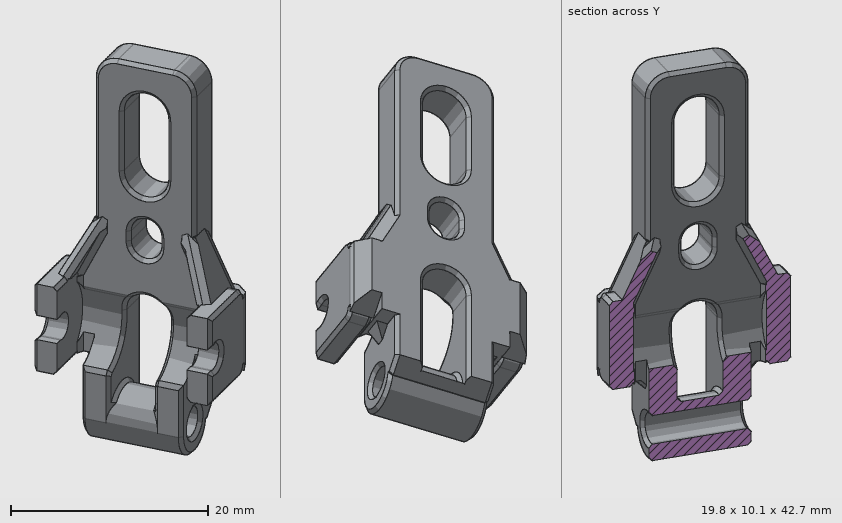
import cadquery as cq
import math

EDGE = 0.4

PLATE_HALF_WIDTH = 5.6
PLATE_THICKNESS = 4.5
PLATE_HEIGHT = 42.7
TOP_CORNER_RADIUS = 2.5

BARREL_RADIUS = 3.1
LUG_FRONT = 7.73
BARREL_DEPTH = LUG_FRONT - BARREL_RADIUS
HINGE_HOLE_DIAMETER = 3.25
HINGE_HOLE_Z = 3.5
FOOT_BEVEL_Z = 3.75

PIN_DEPTH = 8.75
PIN_Z = 13.63
PIN_RADIUS = 1.46
PIN_MOUTH_HALF = 1.37
TROUGH_RADIUS = 4.93
TROUGH_EDGE = 0.15

ARM_OUTER_X = 9.9
ARM_INNER_X = 7.25
ARM_FRONT = 10.12
ARM_HALF_HEIGHT = 4.93
ARM_CORNER_RADIUS = 1.2
ARM_FOOT_WIDTH = 0.42
ARM_FOOT_DEPTH = 0.75

BACK_PROFILE = [(1.5, 0.0), (0.14, 1.28), (0.0, 1.94)]
ARM_BACK = BACK_PROFILE[-1][1]

BLOCK_TOP = 17.6
BLOCK_BOTTOM = 8.95
BLOCK_BEVEL_Z = 10.98
GUSSET_Z = 7.75

WING_START_Z = 24.4
WING_ANGLE = 26.4
WING_PROFILE = [(1.6, 0.0), (0.34, 1.26), (0.12, 1.94), (0.0, 2.2)]
WING_OVERLAP = 5.0
WING_LENGTH = 9.0
RIB_WIDTH = 1.34
RIB_BEVEL_WIDTH = 0.64
RIB_BEVEL_DEPTH = 0.6
RIB_FOOT = 0.6
RIB_RISE = 0.435
RIB_INNER_LIMIT_X = 4.15
RIB_START = 0.6

ADJUST_SLOT_WIDTH, ADJUST_SLOT_LENGTH, ADJUST_SLOT_Z = 4.95, 11.7, 33.56
SMALL_SLOT_WIDTH, SMALL_SLOT_LENGTH, SMALL_SLOT_Z = 3.4, 4.5, 22.95
FORK_SLOT_WIDTH = 4.95
FORK_SLOT_TOP = 16.6

THROUGH = 40.0


def extrude_x(sketch, x_start, x_end):
    """Extrude a YZ-plane sketch between two X positions."""
    return sketch.extrude(x_end - x_start).translate((x_start, 0, 0))


def x_cylinder(radius, half_length, y, z):
    """Cylinder along X, centred on the middle plane."""
    start = cq.Workplane("YZ", origin=(-half_length, y, z))
    return start.circle(radius).extrude(2 * half_length)


def mirrored(solid):
    """A right-hand solid together with its left-hand twin."""
    return solid.union(solid.mirror("YZ"))


def plate_with_lugs():
    """Plate, lugs and foot barrel in one side profile, with bevelled outer edges."""
    profile = (
        cq.Workplane("YZ")
        .moveTo(0, FOOT_BEVEL_Z)
        .lineTo(0, PLATE_HEIGHT)
        .lineTo(-PLATE_THICKNESS, PLATE_HEIGHT)
        .lineTo(-PLATE_THICKNESS, PIN_Z)
        .lineTo(-LUG_FRONT, PIN_Z)
        .lineTo(-LUG_FRONT, BARREL_RADIUS)
        .lineTo(-BARREL_DEPTH, BARREL_RADIUS)
        .lineTo(BARREL_RADIUS - BARREL_DEPTH, FOOT_BEVEL_Z - BARREL_DEPTH + BARREL_RADIUS)
        .close()
        .extrude(PLATE_HALF_WIDTH, both=True)
    )
    body = profile.union(x_cylinder(BARREL_RADIUS, PLATE_HALF_WIDTH, -BARREL_DEPTH, BARREL_RADIUS)).clean()
    body = body.edges("|Y and >Z").fillet(TOP_CORNER_RADIUS)
    return body.faces("<X or >X").edges().chamfer(EDGE)


def underside_bevel(x_start):
    """Cutter for the 45 degree bevel rising to the back under the block and gusset."""
    triangle = cq.Workplane("YZ").moveTo(0, BLOCK_BEVEL_Z).lineTo(-BLOCK_BEVEL_Z, 0).lineTo(0, 0).close()
    return extrude_x(triangle, x_start, ARM_OUTER_X)


def right_block():
    """Block beside the plate that carries the arm, with the lower gusset to the plate."""
    section = [(ARM_OUTER_X - inset, -depth) for inset, depth in BACK_PROFILE]
    section += [(ARM_INNER_X, -ARM_BACK), (ARM_INNER_X, -PLATE_THICKNESS), (0, -PLATE_THICKNESS), (0, 0)]
    block = (
        cq.Workplane("XY", origin=(0, 0, BLOCK_BOTTOM)).polyline(section).close()
        .extrude(BLOCK_TOP - BLOCK_BOTTOM)
    )
    straight_height = 2 * (ARM_HALF_HEIGHT - ARM_CORNER_RADIUS)
    shoulder = extrude_x(
        cq.Workplane("YZ").center(-ARM_BACK - EDGE / 2, PIN_Z).rect(EDGE, straight_height),
        ARM_INNER_X,
        ARM_OUTER_X,
    )
    gusset_drop = BLOCK_BOTTOM - GUSSET_Z
    gusset = (
        cq.Workplane("XZ")
        .moveTo(0, GUSSET_Z)
        .lineTo(PLATE_HALF_WIDTH, GUSSET_Z)
        .lineTo(PLATE_HALF_WIDTH + gusset_drop, BLOCK_BOTTOM)
        .lineTo(0, BLOCK_BOTTOM)
        .close()
        .extrude(PLATE_THICKNESS)
        .faces("<Y").edges(">X").chamfer(EDGE)
    )
    block = block.cut(underside_bevel(ARM_INNER_X))
    return block.union(shoulder).union(gusset.cut(underside_bevel(0)))


def right_arm():
    """Flat arm with a snap-in pin seat open to the front."""
    arm = extrude_x(
        cq.Workplane("YZ")
        .center(-(ARM_BACK + ARM_FRONT) / 2, PIN_Z)
        .rect(ARM_FRONT - ARM_BACK, 2 * ARM_HALF_HEIGHT),
        ARM_INNER_X,
        ARM_OUTER_X,
    )
    arm = arm.edges("|X and >Y").fillet(ARM_CORNER_RADIUS)
    mouth_length = ARM_FRONT
    mouth = (
        cq.Workplane("YZ")
        .center(-PIN_DEPTH - mouth_length / 2, PIN_Z)
        .rect(mouth_length, 2 * PIN_MOUTH_HALF)
        .extrude(THROUGH, both=True)
    )
    arm = arm.cut(x_cylinder(PIN_RADIUS, THROUGH, -PIN_DEPTH, PIN_Z).union(mouth))
    arm = arm.faces(">X").edges().chamfer(EDGE)
    return arm.faces("<X").edges("<Z or >Z").chamfer(EDGE)


def right_arm_foot():
    """Small bevel along the corner between the arm and the plate front."""
    return (
        cq.Workplane("XY", origin=(0, 0, BLOCK_BOTTOM))
        .moveTo(ARM_INNER_X - ARM_FOOT_WIDTH, -PLATE_THICKNESS)
        .lineTo(ARM_INNER_X, -PLATE_THICKNESS - ARM_FOOT_DEPTH)
        .lineTo(ARM_INNER_X, -PLATE_THICKNESS)
        .close()
        .extrude(BLOCK_TOP - BLOCK_BOTTOM)
    )


def right_wing():
    """Sloping wing and rib: a section (inset, Y) swept down along the tilted wing edge."""
    tilt = math.radians(WING_ANGLE)
    wing_plane = cq.Plane(
        origin=(PLATE_HALF_WIDTH, 0, WING_START_Z),
        xDir=(-math.cos(tilt), 0, -math.sin(tilt)),
        normal=(math.sin(tilt), 0, -math.cos(tilt)),
    )
    base_section = [(inset, -depth) for inset, depth in WING_PROFILE]
    base_section += [(0, -PLATE_THICKNESS), (WING_OVERLAP, -PLATE_THICKNESS), (WING_OVERLAP, 0)]
    base = cq.Workplane(wing_plane).polyline(base_section).close().extrude(WING_LENGTH)

    rib_length = WING_LENGTH + RIB_START
    rib_top = PLATE_THICKNESS + RIB_RISE * rib_length
    foot_end = RIB_WIDTH + RIB_FOOT
    rib_section = [
        (0, -WING_PROFILE[-1][1]),
        (0, -rib_top),
        (RIB_WIDTH, -rib_top),
        (RIB_WIDTH, -PLATE_THICKNESS - RIB_FOOT),
        (foot_end, -PLATE_THICKNESS),
        (foot_end, -WING_PROFILE[-1][1]),
    ]
    rib_start = cq.Workplane(wing_plane).workplane(offset=-RIB_START)
    rib = rib_start.polyline(rib_section).close().extrude(rib_length)

    def under_crest(top):
        """Section below a crest of the given depth, bevelled on the outer side."""
        return [(0, 0), (0, RIB_BEVEL_DEPTH - top), (RIB_BEVEL_WIDTH, -top), (foot_end, -top), (foot_end, 0)]

    rising_crest = (
        rib_start.polyline(under_crest(PLATE_THICKNESS)).close()
        .workplane(offset=rib_length)
        .polyline(under_crest(rib_top)).close()
        .loft(ruled=True)
    )
    middle = (
        cq.Workplane("XY", origin=(0, 0, WING_START_Z))
        .rect(2 * RIB_INNER_LIMIT_X, 2 * ARM_FRONT)
        .extrude(WING_LENGTH, both=True)
    )
    return base.union(rib.intersect(rising_crest).cut(middle))


def plate_slot(width, length, z):
    """Through slot standing along Z, bevelled at the plate front and back."""
    def outline(depth, growth):
        return (
            cq.Workplane("XZ", origin=(0, -depth, z))
            .slot2D(length + 2 * growth, width + 2 * growth, 90)
        )

    slot = outline(0, 0).extrude(PLATE_THICKNESS)
    back_bevel = outline(0, EDGE).extrude(EDGE, taper=45)
    front_bevel = outline(PLATE_THICKNESS, EDGE).extrude(-EDGE, taper=45)
    return slot.union(back_bevel).union(front_bevel)


def cut_trough(body):
    """Round trough between the arms, bevelled along the lug tops."""
    body = body.cut(x_cylinder(TROUGH_RADIUS, ARM_INNER_X, -PIN_DEPTH, PIN_Z))
    lug_top = PIN_Z - math.sqrt(TROUGH_RADIUS ** 2 - (PIN_DEPTH - LUG_FRONT) ** 2)
    lug_edge = cq.selectors.NearestToPointSelector((0, -LUG_FRONT, lug_top))
    return body.edges("|X").edges(lug_edge).chamfer(EDGE)


def cut_fork_slot(body):
    """Slot between the lugs down to the barrel, with its rims bevelled."""
    radius = FORK_SLOT_WIDTH / 2
    height = FORK_SLOT_TOP - BARREL_RADIUS
    slot = (
        cq.Workplane("XZ", origin=(0, 0, BARREL_RADIUS))
        .moveTo(-radius, 0)
        .lineTo(radius, 0)
        .lineTo(radius, height - radius)
        .threePointArc((0, height), (-radius, height - radius))
        .close()
        .extrude(THROUGH)
    )
    body = body.cut(slot)
    rim_region = cq.selectors.BoxSelector(
        (-radius - EDGE, -LUG_FRONT - EDGE, BARREL_RADIUS + EDGE),
        (radius + EDGE, EDGE, FORK_SLOT_TOP + EDGE),
    )
    return body.edges(rim_region).edges("not |Y").chamfer(EDGE)


def bevel_trough_edge(body):
    """Fine bevel on both stretches of the edge between the trough and the plate front."""
    edge_z = PIN_Z + math.sqrt(TROUGH_RADIUS ** 2 - (PIN_DEPTH - PLATE_THICKNESS) ** 2)
    edge_region = cq.selectors.BoxSelector(
        (-ARM_INNER_X, -PLATE_THICKNESS - TROUGH_EDGE, edge_z - TROUGH_EDGE),
        (ARM_INNER_X, TROUGH_EDGE - PLATE_THICKNESS, edge_z + TROUGH_EDGE),
    )
    return body.edges("|X").edges(edge_region).chamfer(TROUGH_EDGE)


def fork_barrel():
    """Barrel across the fork slot, flared where it meets the lugs."""
    half_gap = FORK_SLOT_WIDTH / 2
    barrel = x_cylinder(BARREL_RADIUS, PLATE_HALF_WIDTH - EDGE, -BARREL_DEPTH, BARREL_RADIUS)
    flare = (
        cq.Workplane("YZ", origin=(half_gap, 0, 0))
        .center(-BARREL_DEPTH, BARREL_RADIUS)
        .circle(BARREL_RADIUS + EDGE)
        .extrude(-EDGE, taper=45)
    )
    rim_depth = LUG_FRONT - EDGE
    between_rims = (
        cq.Workplane("XY", origin=(0, 0, BARREL_RADIUS))
        .moveTo(half_gap, 0)
        .lineTo(half_gap, -rim_depth)
        .lineTo(half_gap - EDGE, EDGE - rim_depth)
        .lineTo(half_gap - EDGE, 0)
        .close()
        .extrude(2 * BARREL_RADIUS)
    )
    return barrel.union(mirrored(flare.intersect(between_rims)))


def hinge_hole():
    """Cutter for the hinge pin hole with bevelled mouths."""
    hole_radius = HINGE_HOLE_DIAMETER / 2
    hole = x_cylinder(hole_radius, PLATE_HALF_WIDTH, -BARREL_DEPTH, HINGE_HOLE_Z)
    bevel = (
        cq.Workplane("YZ", origin=(PLATE_HALF_WIDTH, 0, 0))
        .center(-BARREL_DEPTH, HINGE_HOLE_Z)
        .circle(hole_radius + EDGE)
        .extrude(-EDGE, taper=45)
    )
    return hole.union(mirrored(bevel))


body = plate_with_lugs()
body = body.union(mirrored(right_block().union(right_wing()).union(right_arm_foot())))
body = cut_trough(body)
body = body.union(mirrored(right_arm()))
body = cut_fork_slot(body)
body = body.union(fork_barrel())
body = body.cut(plate_slot(ADJUST_SLOT_WIDTH, ADJUST_SLOT_LENGTH, ADJUST_SLOT_Z))
body = body.cut(plate_slot(SMALL_SLOT_WIDTH, SMALL_SLOT_LENGTH, SMALL_SLOT_Z))
body = body.cut(hinge_hole())
result = bevel_trough_edge(body)